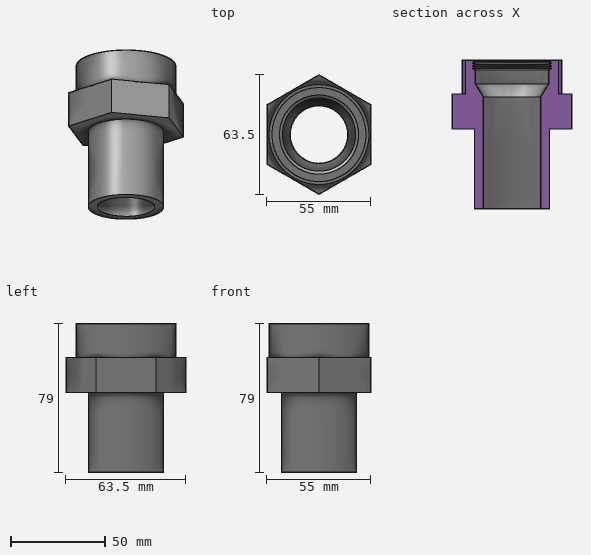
import cadquery as cq

total_height = 79.0
hex_bottom = 42.35
hex_top = 61.1
hex_width = 55.0

tube_radius = 20.0
socket_radius = 25.0
ring_radius = 26.55

thread_major_radius = 21.0
thread_minor_radius = 19.4
through_radius = 15.25

first_crest_depth = 0.7
thread_pitch = 1.5
crest_count = 4
taper_start_depth = 12.65
taper_end_depth = 19.5


def make_bore():
    """Tool for the bore: thread grooves, plain socket, taper and through hole."""
    points = [(0, total_height), (thread_major_radius, total_height)]
    for index in range(crest_count):
        crest_z = total_height - first_crest_depth - index * thread_pitch
        points.append((thread_minor_radius, crest_z))
        if index < crest_count - 1:
            points.append((thread_major_radius, crest_z - thread_pitch / 2))
    points += [
        (thread_minor_radius, total_height - taper_start_depth),
        (through_radius, total_height - taper_end_depth),
        (through_radius, 0),
        (0, 0),
    ]
    return cq.Workplane("XZ").polyline(points).close().revolve(360, (0, 0), (0, 1))


def make_fitting():
    """Tube, hexagon and socket in one piece, bored through."""
    tube = cq.Workplane("XY").circle(tube_radius).extrude(hex_bottom)
    hexagon = (
        cq.Workplane("XY", origin=(0, 0, hex_bottom))
        .polygon(6, hex_width, circumscribed=True)
        .extrude(hex_top - hex_bottom)
    )
    socket = (
        cq.Workplane("XY", origin=(0, 0, hex_top))
        .circle(socket_radius)
        .extrude(total_height - hex_top)
    )
    return tube.union(hexagon).union(socket).cut(make_bore())


def make_ring():
    """Reinforcing ring around the socket, seated on the hexagon."""
    return (
        cq.Workplane("XY", origin=(0, 0, hex_top))
        .circle(ring_radius)
        .circle(socket_radius)
        .extrude(total_height - hex_top)
    )


fitting = make_fitting()
ring = make_ring()
result = cq.Compound.makeCompound([fitting.val(), ring.val()])